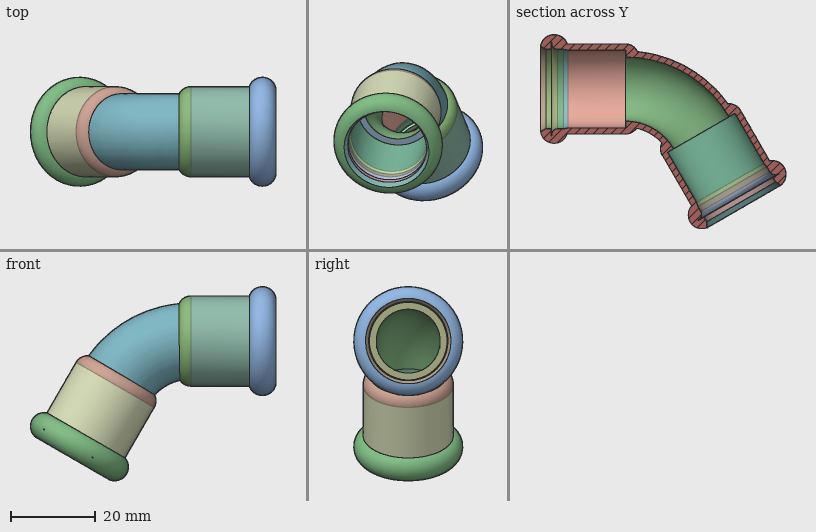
import cadquery as cq

bend_angle = 60
bend_radius = 20.6
leg_length = 20.1

tube_radius = 9.0
socket_radius = 10.65
shoulder_radius = 3.1
bead_outer_radius = 12.85
bead_width = 6.55
bead_round = bead_width / 2

tube_bore_radius = socket_radius - shoulder_radius
mouth_radius = 10.1
seal_bore_radius = 18.7 / 2
inner_bore_radius = 18.3 / 2
mouth_depth = 1.35
groove_start = 2.6
groove_end = 4.1
groove_round = 1.45
groove_radius = 11.0
taper_start = 5.5
taper_end = 6.5


def revolve_about_x(profile):
    """Full turn of a closed (x, radius) profile about the X axis."""
    return profile.close().revolve(360, (0, 0, 0), (1, 0, 0))


def place_on_inclined_leg(body):
    """Move a body from the horizontal leg to the leg at the other end of the bend."""
    mirrored = body.mirror("YZ")
    return mirrored.rotate((0, 0, -bend_radius), (0, 1, -bend_radius), -bend_angle)


def make_bend(radius):
    """Round bar swept along the bend arc."""
    section = cq.Workplane("YZ").circle(radius)
    return section.revolve(bend_angle, (0, -bend_radius, 0), (-1, -bend_radius, 0))


def make_leg():
    """Socket with a rounded shoulder at the bend and a rolled bead at the open face."""
    socket = revolve_about_x(
        cq.Workplane("XZ")
        .moveTo(-shoulder_radius, 0)
        .lineTo(-shoulder_radius, socket_radius - shoulder_radius)
        .radiusArc((0, socket_radius), shoulder_radius)
        .lineTo(leg_length - bead_round, socket_radius)
        .lineTo(leg_length - bead_round, 0)
    )
    bead_start = leg_length - bead_width
    bead_shoulder = bead_outer_radius - bead_round
    bead = revolve_about_x(
        cq.Workplane("XZ")
        .moveTo(bead_start, 0)
        .lineTo(bead_start, bead_shoulder)
        .threePointArc((leg_length - bead_round, bead_outer_radius), (leg_length, bead_shoulder))
        .lineTo(leg_length, 0)
    )
    return socket.union(bead)


def make_leg_bore():
    """Flared mouth, seal groove with a rounded inner edge, and a slightly narrower socket bore."""
    groove_back = groove_end - groove_round
    groove_round_top = seal_bore_radius + groove_round
    return revolve_about_x(
        cq.Workplane("XZ")
        .moveTo(leg_length, 0)
        .lineTo(leg_length, mouth_radius)
        .lineTo(leg_length - mouth_depth, seal_bore_radius)
        .lineTo(leg_length - groove_start, seal_bore_radius)
        .lineTo(leg_length - groove_start, groove_radius)
        .lineTo(leg_length - groove_back, groove_radius)
        .lineTo(leg_length - groove_back, groove_round_top)
        .radiusArc((leg_length - groove_end, seal_bore_radius), groove_round)
        .lineTo(leg_length - taper_start, seal_bore_radius)
        .lineTo(leg_length - taper_end, inner_bore_radius)
        .lineTo(0, inner_bore_radius)
        .lineTo(0, 0)
    )


leg = make_leg()
leg_bore = make_leg_bore()
outside = make_bend(tube_radius).union(leg).union(place_on_inclined_leg(leg))
inside = make_bend(tube_bore_radius).union(leg_bore).union(place_on_inclined_leg(leg_bore))
result = outside.cut(inside)